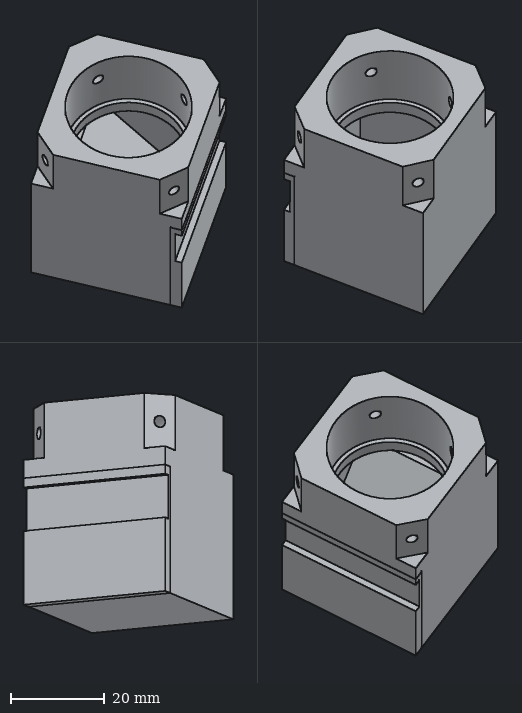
import cadquery as cq
import math

HEIGHT = 43.5
WIDTH = 33.5
HALF_WIDTH = WIDTH / 2

CORNER_CUT = 4.9
CORNER_CUT_HEIGHT = 12.0

BORE_DIAMETER = 27.0
BORE_DEPTH = 15.0
LOWER_BORE_DIAMETER = 25.0
LEDGE_Z = HEIGHT - BORE_DEPTH

FLOOR_THICKNESS = 1.0
WEB_THICKNESS = 3.0
CEILING_Z = LEDGE_Z - WEB_THICKNESS
CHAMBER_WIDTH = 27.0
CHAMBER_BACK_X = -CHAMBER_WIDTH / 2

SCREW_HOLE_DIAMETER = 2.5
SCREW_HOLE_Z = HEIGHT - CORNER_CUT_HEIGHT / 2

COVER_THICKNESS = 2.52
COVER_HEIGHT = 27.5
SLOT_BOTTOM_Z = 16.0
SLOT_HEIGHT = 9.5
SLOT_DEPTH = 1.5

REFLECTOR_EDGE_X = -11.1
REFLECTOR_ANGLE = 45.0


def make_cover_blank():
    """Plain cover slab, also used to cut its recess in the housing."""
    return (
        cq.Workplane("XY")
        .box(COVER_THICKNESS, WIDTH, COVER_HEIGHT, centered=(False, True, False))
        .translate((HALF_WIDTH - COVER_THICKNESS, 0, 0))
    )


def make_block():
    """Square block with its four upper corners relieved."""
    block = cq.Workplane("XY").rect(WIDTH, WIDTH).extrude(HEIGHT - CORNER_CUT_HEIGHT)
    upper_end = (
        cq.Workplane("XY")
        .workplane(offset=HEIGHT - CORNER_CUT_HEIGHT)
        .rect(WIDTH, WIDTH)
        .extrude(CORNER_CUT_HEIGHT)
        .edges("|Z")
        .chamfer(CORNER_CUT)
    )
    return block.union(upper_end)


def make_bore():
    """Cutter for the bore and the narrower bore below its ledge."""
    lower = (
        cq.Workplane("XY")
        .workplane(offset=CEILING_Z)
        .circle(LOWER_BORE_DIAMETER / 2)
        .extrude(WEB_THICKNESS)
    )
    upper = (
        cq.Workplane("XY")
        .workplane(offset=LEDGE_Z)
        .circle(BORE_DIAMETER / 2)
        .extrude(BORE_DEPTH)
    )
    return lower.union(upper)


def make_chamber():
    """Cutter for the chamber, running from its back wall to the inner face of the cover."""
    length = HALF_WIDTH - COVER_THICKNESS - CHAMBER_BACK_X
    height = CEILING_Z - FLOOR_THICKNESS
    return (
        cq.Workplane("XY")
        .box(length, CHAMBER_WIDTH, height, centered=(False, True, False))
        .translate((CHAMBER_BACK_X, 0, FLOOR_THICKNESS))
    )


def make_screw_hole(angle):
    """Cutter running outward from the bore axis through one corner."""
    return (
        cq.Workplane("YZ")
        .center(0, SCREW_HOLE_Z)
        .circle(SCREW_HOLE_DIAMETER / 2)
        .extrude(WIDTH)
        .rotate((0, 0, 0), (0, 0, 1), angle)
    )


def make_housing():
    """Block with the bore, the chamber, the screw holes and the cover recess."""
    housing = make_block().cut(make_bore()).cut(make_chamber()).cut(make_cover_blank())
    for angle in (45, 135, 225, 315):
        housing = housing.cut(make_screw_hole(angle))
    return housing


def make_cover():
    """Cover plate with a slot across its full outer face."""
    slot = (
        cq.Workplane("XY")
        .box(SLOT_DEPTH, WIDTH, SLOT_HEIGHT, centered=(False, True, False))
        .translate((HALF_WIDTH - SLOT_DEPTH, 0, SLOT_BOTTOM_Z))
    )
    return make_cover_blank().cut(slot)


def make_reflector():
    """Wedge with a narrow flat top and a sharp toe, as wide as the chamber."""
    run = (CEILING_Z - FLOOR_THICKNESS) / math.tan(math.radians(REFLECTOR_ANGLE))
    return (
        cq.Workplane("XZ")
        .moveTo(CHAMBER_BACK_X, FLOOR_THICKNESS)
        .lineTo(REFLECTOR_EDGE_X + run, FLOOR_THICKNESS)
        .lineTo(REFLECTOR_EDGE_X, CEILING_Z)
        .lineTo(CHAMBER_BACK_X, CEILING_Z)
        .close()
        .extrude(CHAMBER_WIDTH / 2, both=True)
    )


housing = make_housing()
cover = make_cover()
reflector = make_reflector()

result = cq.Compound.makeCompound([housing.val(), cover.val(), reflector.val()])